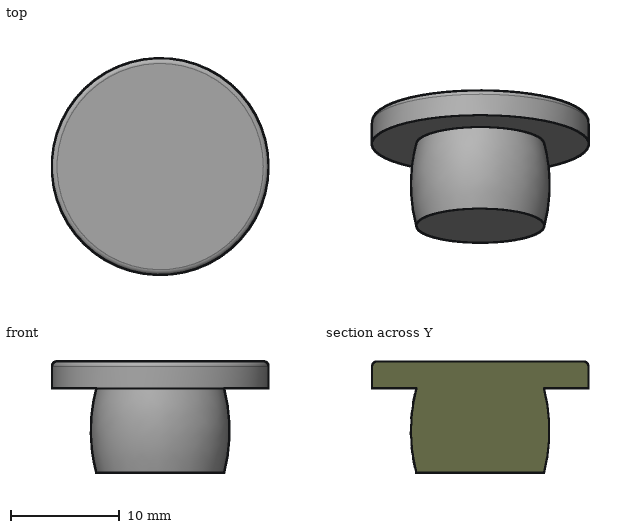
import cadquery as cq

flange_diameter = 20
flange_thickness = 2.5
rim_radius = 0.5

total_height = 10.3
stem_end_diameter = 11.8
stem_middle_diameter = 12.8
stem_length = total_height - flange_thickness


def make_flange():
    """Disc standing on the top end of the stem."""
    base = cq.Workplane("XY").workplane(offset=stem_length)
    disc = base.circle(flange_diameter / 2).extrude(flange_thickness)
    return disc.faces(">Z").edges().fillet(rim_radius)


def make_stem():
    """Solid of revolution whose side bulges in a single arc."""
    end_radius = stem_end_diameter / 2
    middle_radius = stem_middle_diameter / 2
    profile = (
        cq.Workplane("XZ")
        .moveTo(0, 0)
        .lineTo(end_radius, 0)
        .threePointArc((middle_radius, stem_length / 2), (end_radius, stem_length))
        .lineTo(0, stem_length)
        .close()
    )
    return profile.revolve(360, (0, 0, 0), (0, 1, 0))


result = make_flange().union(make_stem())